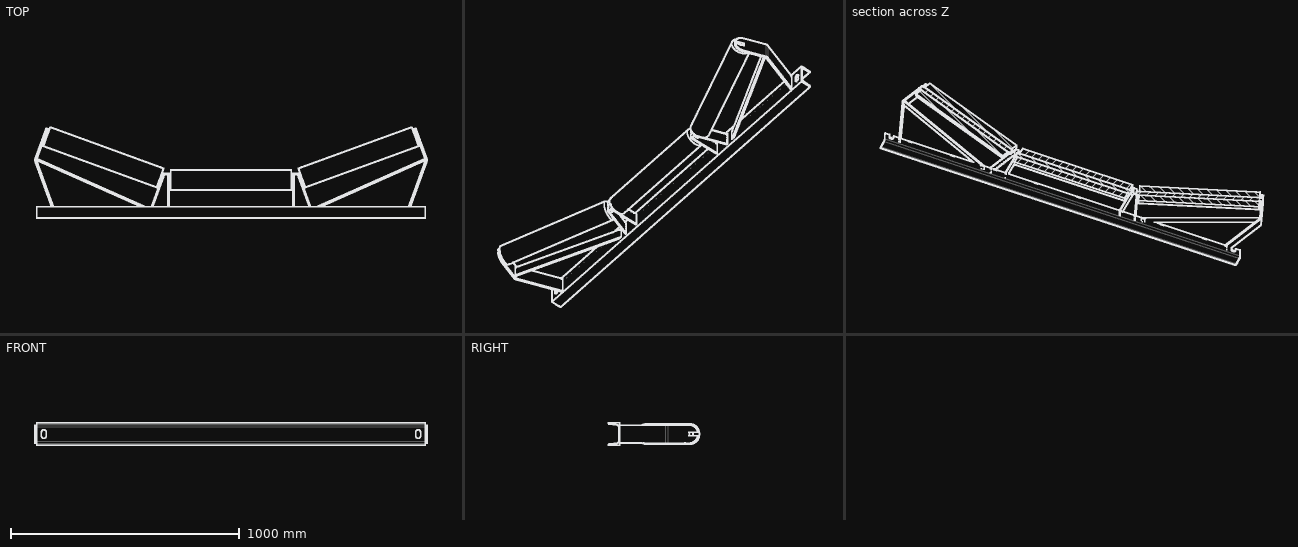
import cadquery as cq
import math


overall_length = 1715.0
roller_sides = (-1, 0, 1)

channel_length = 1700.0
channel_height = 100.0
channel_depth = 50.0
web_thickness = 5.5
flange_root = 10.0
flange_tip = 6.5
root_radius = 9.0
toe_radius = 4.5
mount_slot_x = 818.0
mount_slot_width = 20.0
mount_slot_height = 38.0

trough_angle = 20
roller_diameter = 90.0
roller_length = 528.0
centre_roller_y = 117.0
wing_roller_x = 557.0
wing_roller_y = 216.0
shaft_diameter = 19.0
shaft_flat_width = 14.0

strap_width = 79.0
outer_tip_rise = 35.0
roller_gap = 7.0
outer_thickness = 7.7
outer_bend_radius = 15.0
inner_thickness = 5.0
inner_width = 65.0
inner_top_y = 145.0
brace_thickness = 7.0
brace_width = 50.0
brace_foot_x = 375.0

tilt = math.radians(trough_angle)
axis_x = math.cos(tilt)
axis_y = math.sin(tilt)
lean = math.tan(tilt)
tip_radius = strap_width / 2
seat_distance = roller_length / 2 + roller_gap

bend_x = overall_length / 2 + outer_bend_radius * (1 / axis_x - 1)
outer_reach = seat_distance + outer_thickness
outer_face_x = wing_roller_x + outer_reach * axis_x
outer_face_y = wing_roller_y + outer_reach * axis_y
bend_y = outer_face_y - (bend_x - outer_face_x) / lean


def roller_plane(side, distance):
    """Plane square to a roller axis, at a distance along +X from the roller middle.

    Local x is Z, and local y points away from the roller towards the base.
    """
    if side == 0:
        return cq.Plane((distance, centre_roller_y, 0), (0, 0, 1), (1, 0, 0))
    origin_x = side * wing_roller_x + distance * axis_x
    origin_y = wing_roller_y + side * distance * axis_y
    return cq.Plane((origin_x, origin_y, 0), (0, 0, 1), (axis_x, side * axis_y, 0))


def prism(points, width):
    """Outline in the XY plane, extruded evenly to both sides of Z = 0."""
    return cq.Workplane("XY").polyline(points).close().extrude(width / 2, both=True)


def shaft_notch(side, distance, thickness):
    """Open-topped slot for the shaft flats; its floor carries the underside of the shaft."""
    return (
        cq.Workplane(roller_plane(side, distance))
        .center(0, shaft_diameter / 2 - tip_radius)
        .rect(shaft_flat_width, 2 * tip_radius)
        .extrude(thickness)
    )


def make_channel():
    half_height = channel_height / 2
    root_z = half_height - flange_root
    tip_z = half_height - flange_tip
    profile = [
        (0, -half_height),
        (0, half_height),
        (-channel_depth, half_height),
        (-channel_depth, tip_z),
        (-web_thickness, root_z),
        (-web_thickness, -root_z),
        (-channel_depth, -tip_z),
        (-channel_depth, -half_height),
    ]
    section_plane = cq.Plane((-channel_length / 2, 0, 0), (0, 1, 0), (1, 0, 0))
    channel = cq.Workplane(section_plane).polyline(profile).close().extrude(channel_length)
    for corner_y, corner_z, radius in (
        (-web_thickness, root_z, root_radius),
        (-channel_depth, tip_z, toe_radius),
    ):
        for z in (-corner_z, corner_z):
            corner = cq.selectors.NearestToPointSelector((0, corner_y, z))
            channel = channel.edges("|X").edges(corner).fillet(radius)
    mount_slots = (
        cq.Workplane("XZ")
        .pushPoints([(-mount_slot_x, 0), (mount_slot_x, 0)])
        .slot2D(mount_slot_height, mount_slot_width, 90)
        .extrude(web_thickness)
    )
    return channel.cut(mount_slots)


def make_outer_bracket():
    """Right outer bracket: a bent strap with a rounded upper end around the shaft."""
    wall = outer_thickness / axis_x
    tip_x = outer_face_x - outer_tip_rise * axis_y
    tip_y = outer_face_y + outer_tip_rise * axis_x
    foot_x = bend_x - bend_y * lean
    strap = prism(
        [
            (foot_x, 0),
            (bend_x, bend_y),
            (tip_x, tip_y),
            (tip_x - outer_thickness * axis_x, tip_y - outer_thickness * axis_y),
            (bend_x - wall, bend_y),
            (foot_x - wall, 0),
        ],
        strap_width,
    )
    for x, radius in ((bend_x, outer_bend_radius), (bend_x - wall, outer_bend_radius - outer_thickness)):
        corner = cq.selectors.NearestToPointSelector((x, bend_y, 0))
        strap = strap.edges("|Z").edges(corner).fillet(radius)
    face = roller_plane(1, seat_distance)
    tip_centre = cq.Workplane(face).center(0, tip_radius - outer_tip_rise)
    square_end = tip_centre.rect(strap_width, strap_width).extrude(outer_thickness)
    round_end = tip_centre.circle(tip_radius).extrude(outer_thickness)
    lower_half = (
        tip_centre.center(0, tip_radius / 2).rect(strap_width, tip_radius).extrude(outer_thickness)
    )
    strap = strap.cut(square_end.cut(round_end).cut(lower_half))
    return strap.cut(shaft_notch(1, seat_distance, outer_thickness))


def make_brace():
    """Right brace, from the base up into the outer bracket, its underside meeting the bend."""
    head_x = bend_x - outer_thickness
    slope = math.atan2(bend_y, head_x - brace_foot_x)
    height = brace_thickness / math.cos(slope)
    length = brace_thickness / math.sin(slope)
    return prism(
        [
            (brace_foot_x, 0),
            (brace_foot_x + length, 0),
            (head_x, bend_y),
            (head_x, bend_y + height),
        ],
        brace_width,
    )


def make_inner_bracket():
    """Right inner bracket: a folded strap between the centre roller and the wing roller."""
    face = roller_plane(1, -seat_distance).origin
    wall = inner_thickness / axis_x
    under_y = inner_top_y - inner_thickness
    foot_x = face.x + face.y * lean
    strap = prism(
        [
            (seat_distance, 0),
            (seat_distance, inner_top_y),
            (foot_x - inner_top_y * lean, inner_top_y),
            (foot_x, 0),
            (foot_x - wall, 0),
            (foot_x - wall - under_y * lean, under_y),
            (seat_distance + inner_thickness, under_y),
            (seat_distance + inner_thickness, 0),
        ],
        inner_width,
    )
    strap = strap.cut(shaft_notch(0, seat_distance, inner_thickness))
    return strap.cut(shaft_notch(1, -seat_distance - inner_thickness, inner_thickness))


def make_frame():
    frame = make_channel()
    for part in (make_outer_bracket(), make_brace(), make_inner_bracket()):
        frame = frame.union(part).union(part.mirror("YZ"))
    return frame


def make_roller(side):
    return (
        cq.Workplane(roller_plane(side, -roller_length / 2))
        .circle(roller_diameter / 2)
        .circle(shaft_diameter / 2)
        .extrude(roller_length)
    )


def make_shaft(side):
    """Round shaft with two flats at each end, flush with the outsides of its brackets."""
    left_end = outer_thickness if side == -1 else inner_thickness
    right_end = outer_thickness if side == 1 else inner_thickness
    start = -seat_distance - left_end
    shaft = (
        cq.Workplane(roller_plane(side, start))
        .circle(shaft_diameter / 2)
        .extrude(left_end + 2 * seat_distance + right_end)
    )
    for distance, length in ((start, left_end), (seat_distance, right_end)):
        flats = (
            cq.Workplane(roller_plane(side, distance))
            .rect(2 * shaft_diameter, 2 * shaft_diameter)
            .rect(shaft_flat_width, 2 * shaft_diameter)
            .extrude(length)
        )
        shaft = shaft.cut(flats)
    return shaft


frame = make_frame()
rollers = [make_roller(side).val() for side in roller_sides]
shafts = [make_shaft(side).val() for side in roller_sides]
result = cq.Compound.makeCompound([frame.val(), *rollers, *shafts])